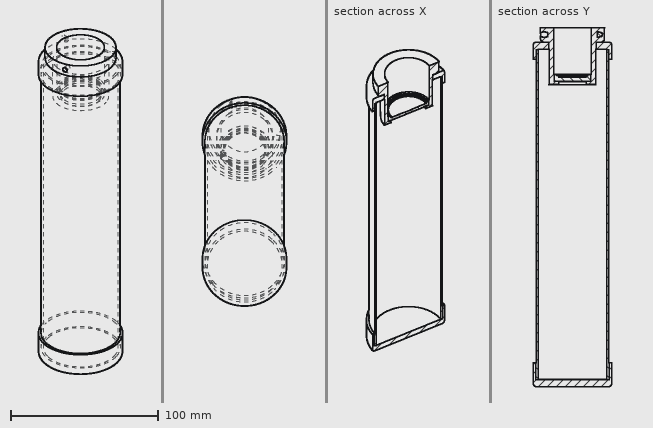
import cadquery as cq

outer_diameter = 57.35
overall_height = 244.15
cap_edge_radius = 2.0

tube_diameter = 53.85
tube_bore_diameter = 50.8

bottom_cap_height = 16.4
bottom_cap_floor = 5.0

collar_diameter = 48.4
collar_height = 9.7
collar_edge_radius = 2.0
top_cap_height = 11.8
top_cap_wall = 5.0
sleeve_diameter = 38.1
sleeve_length = 29.0
sleeve_ledge = 2.0
optic_bore_diameter = 32.5

lens_height = 5.0
lens_lip_diameter = 29.2
lens_face_diameter = 27.6
lens_step = 1.0
dish_diameter = 12.0
dish_depth = 0.3

screw_diameter = 3.2
screw_length = 4.0
screw_drop = 4.7
screw_recess = 0.3
screw_angles = [31.0, 152.0, 276.5]

collar_bottom = overall_height - collar_height
top_cap_bottom = collar_bottom - top_cap_height
tube_top = collar_bottom - top_cap_wall
sleeve_bottom = collar_bottom - sleeve_length
lens_bottom = sleeve_bottom + sleeve_ledge
screw_height = overall_height - screw_drop

screw_outer_end = collar_diameter / 2 - screw_recess
screw_inner_end = screw_outer_end - screw_length


def cylinder(diameter, bottom, top):
    """Upright cylinder on the Z axis between two heights."""
    return cq.Workplane("XY").workplane(offset=bottom).circle(diameter / 2).extrude(top - bottom)


def make_bottom_cap():
    """Round cup with a rounded lower rim that takes the end of the tube."""
    cup = cylinder(outer_diameter, 0, bottom_cap_height).faces("<Z").edges().fillet(cap_edge_radius)
    return cup.cut(cylinder(tube_diameter, bottom_cap_floor, bottom_cap_height))


def make_tube():
    """Plain tube running from the floor of the bottom cap up into the top cap."""
    return cylinder(tube_diameter, bottom_cap_floor, tube_top).cut(
        cylinder(tube_bore_diameter, bottom_cap_floor, tube_top)
    )


def make_top_cap():
    """Cap over the tube end, with a rounded upper rim and a hole for the collar's sleeve."""
    cap = cylinder(outer_diameter, top_cap_bottom, collar_bottom).faces(">Z").edges().fillet(cap_edge_radius)
    cap = cap.cut(cylinder(tube_diameter, top_cap_bottom, tube_top))
    return cap.cut(cylinder(sleeve_diameter, tube_top, collar_bottom))


def make_lens():
    """Disc on the sleeve ledge: two steps down to a face with a shallow spherical dish."""
    lens_top = lens_bottom + lens_height
    face = lens_top - 2 * lens_step
    lens = cylinder(optic_bore_diameter, lens_bottom, lens_top)
    lens = lens.cut(cylinder(lens_lip_diameter, lens_top - lens_step, lens_top))
    lens = lens.cut(cylinder(lens_face_diameter, face, lens_top))
    dish_radius = ((dish_diameter / 2) ** 2 + dish_depth**2) / (2 * dish_depth)
    ball = cq.Workplane("XY").sphere(dish_radius).translate((0, 0, face - dish_depth + dish_radius))
    return lens.cut(ball.intersect(cylinder(dish_diameter, lens_bottom, lens_top)))


def radial_rod(angle, inner_end, outer_end):
    """Rod of the screw diameter at the screw height, between two distances from the Z axis."""
    length = outer_end - inner_end
    rod = cq.Workplane("YZ").workplane(offset=inner_end).circle(screw_diameter / 2).extrude(length)
    return rod.translate((0, 0, screw_height)).rotate((0, 0, 0), (0, 0, 1), angle)


def make_screw(angle):
    """Radial set screw, sunk below the outside of the collar and short of its bore."""
    return radial_rod(angle, screw_inner_end, screw_outer_end)


def make_collar(angles):
    """Ring with a rounded lower rim and blind screw holes, on a sleeve that carries the lens."""
    collar = cylinder(collar_diameter, collar_bottom, overall_height)
    collar = collar.faces("<Z").edges().fillet(collar_edge_radius)
    collar = collar.union(cylinder(sleeve_diameter, sleeve_bottom, overall_height))
    collar = collar.cut(cylinder(optic_bore_diameter, lens_bottom, overall_height))
    collar = collar.cut(cylinder(lens_face_diameter, sleeve_bottom, lens_bottom))
    for angle in angles:
        collar = collar.cut(radial_rod(angle, screw_inner_end, collar_diameter))
    return collar


bottom_cap = make_bottom_cap()
tube = make_tube()
top_cap = make_top_cap()
lens = make_lens()
collar = make_collar(screw_angles)
screws = [make_screw(angle) for angle in screw_angles]

result = cq.Compound.makeCompound(
    [bottom_cap.val(), tube.val(), top_cap.val(), lens.val(), collar.val()]
    + [screw.val() for screw in screws]
)